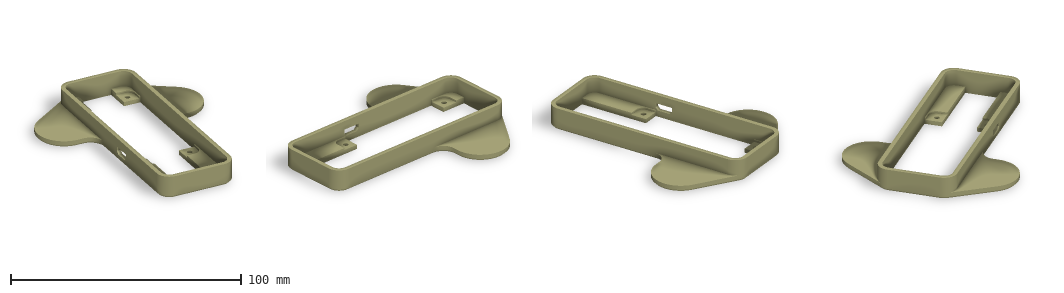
import cadquery as cq
import math

frame_length = 100.0
frame_width = 36.0
frame_height = 10.5
wall = 2.0
corner_radius = 6.0

base_thickness = 3.0
rebate_inset = 1.0
rebate_height = 1.0

overall_width = 80.0
ear_radius = 13.0
ear_center_x = -25.5
ear_blend_radius = 6.0

hole_diameter = 2.5
hole_spacing_x = 58.0
hole_spacing_y = 23.0
board_center_x = -10.5
board_length = 66.0
board_width = 31.0
board_corner_radius = 3.5
recess_depth = 1.0
shelf_margin = 3.5

connector_center_x = 10.9
connector_width = 8.5
connector_bottom_width = 6.0
connector_height = 3.3
connector_chamfer_height = 1.3

inner_length = frame_length - 2 * wall
inner_width = frame_width - 2 * wall
inner_radius = corner_radius - wall
cut_overlap = 1.0


def rounded_block(length, width, radius, bottom, height):
    """Upright block with rounded vertical edges, centered on the Z axis."""
    block = cq.Workplane("XY").workplane(offset=bottom).rect(length, width).extrude(height)
    return block.edges("|Z").fillet(radius)


def point_on_circle(center, radius, angle):
    return (center[0] + radius * math.cos(angle), center[1] + radius * math.sin(angle))


def base_half(inset, bottom, height):
    """Half of the base plate at Y >= 0, with its outer edge moved inward by the inset."""
    corner = (-frame_length / 2 + corner_radius, frame_width / 2 - corner_radius)
    far_corner = (-corner[0], corner[1])
    ear = (ear_center_x, overall_width / 2 - ear_radius)
    blend = (ear_center_x + ear_radius + ear_blend_radius, frame_width / 2 + ear_blend_radius)

    corner_r = corner_radius - inset
    ear_r = ear_radius - inset
    blend_r = ear_blend_radius + inset

    dx = ear[0] - corner[0]
    dy = ear[1] - corner[1]
    tangent = math.atan2(dy, dx) + math.acos((corner_radius - ear_radius) / math.hypot(dx, dy))

    end_x = frame_length / 2 - inset
    outline = (
        cq.Workplane("XY").workplane(offset=bottom)
        .moveTo(-end_x, 0)
        .lineTo(-end_x, corner[1])
        .threePointArc(
            point_on_circle(corner, corner_r, (math.pi + tangent) / 2),
            point_on_circle(corner, corner_r, tangent),
        )
        .lineTo(*point_on_circle(ear, ear_r, tangent))
        .threePointArc(
            point_on_circle(ear, ear_r, tangent / 2),
            point_on_circle(ear, ear_r, 0),
        )
        .lineTo(*point_on_circle(blend, blend_r, math.pi))
        .threePointArc(
            point_on_circle(blend, blend_r, 1.25 * math.pi),
            point_on_circle(blend, blend_r, 1.5 * math.pi),
        )
        .lineTo(*point_on_circle(far_corner, corner_r, math.pi / 2))
        .threePointArc(
            point_on_circle(far_corner, corner_r, math.pi / 4),
            point_on_circle(far_corner, corner_r, 0),
        )
        .lineTo(end_x, 0)
        .close()
    )
    return outline.extrude(height)


def base_layer(inset, bottom, height):
    half = base_half(inset, bottom, height)
    return half.union(half.mirror("XZ"))


def base_opening():
    """Cross-shaped opening that leaves a shelf in each corner of the frame."""
    shelf_gap_x = hole_spacing_x - 2 * shelf_margin
    shelf_gap_y = hole_spacing_y - 2 * shelf_margin
    across = cq.Workplane("XY").center(board_center_x, 0).rect(shelf_gap_x, inner_width)
    along = cq.Workplane("XY").rect(inner_length, shelf_gap_y)
    return across.extrude(base_thickness).union(along.extrude(base_thickness))


def screw_holes():
    return (
        cq.Workplane("XY").center(board_center_x, 0)
        .rect(hole_spacing_x, hole_spacing_y, forConstruction=True).vertices()
        .circle(hole_diameter / 2).extrude(base_thickness)
    )


def connector_opening():
    half_top = connector_width / 2
    half_bottom = connector_bottom_width / 2
    profile = [
        (-half_bottom, 0),
        (half_bottom, 0),
        (half_top, connector_chamfer_height),
        (half_top, connector_height),
        (-half_top, connector_height),
        (-half_top, connector_chamfer_height),
    ]
    outer_face = cq.Workplane("XZ", origin=(connector_center_x, -frame_width / 2, base_thickness))
    return outer_face.polyline(profile).close().extrude(cut_overlap + wall, both=True)


rebate_layer = base_layer(rebate_inset, 0, rebate_height)
full_layer = base_layer(0, rebate_height, base_thickness - rebate_height)
frame_block = rounded_block(
    frame_length, frame_width, corner_radius, rebate_height, frame_height - rebate_height
)
body = full_layer.union(rebate_layer).union(frame_block)

cavity = rounded_block(
    inner_length, inner_width, inner_radius, base_thickness, frame_height - base_thickness
)
board_recess = rounded_block(
    board_length, board_width, board_corner_radius, base_thickness - recess_depth, recess_depth
).translate((board_center_x, 0, 0))

result = (
    body.cut(cavity)
    .cut(base_opening())
    .cut(board_recess)
    .cut(screw_holes())
    .cut(connector_opening())
)